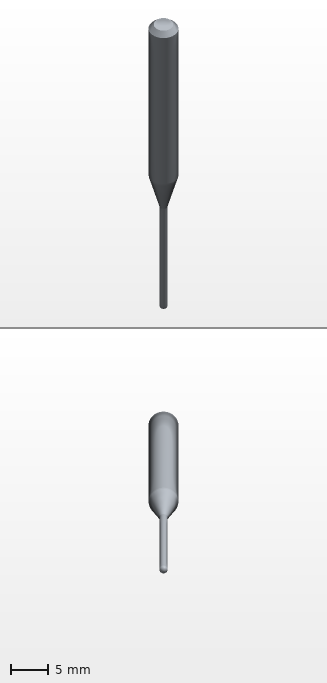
import cadquery as cq
import math

TOTAL_LENGTH = 50.0
SHANK_RADIUS = 2.0
SHANK_CHAMFER = 0.7

BALL_RADIUS = 0.55
HEAD_LENGTH = 1.0

NECK_RADIUS = 0.55
CONE_ANGLE = math.radians(15)
CONE_TOP_Z = 23.25
SHANK_BLEND_RADIUS = 1.15
NECK_BLEND_RADIUS = 0.5


def make_cutting_head():
    """Short cylinder ending in a hemispherical nose."""
    nose_offset = BALL_RADIUS * math.sqrt(0.5)
    half_profile = (
        cq.Workplane("XZ")
        .threePointArc((nose_offset, BALL_RADIUS - nose_offset), (BALL_RADIUS, BALL_RADIUS))
        .lineTo(BALL_RADIUS, HEAD_LENGTH)
        .lineTo(0, HEAD_LENGTH)
        .close()
    )
    return half_profile.revolve(360, (0, 0, 0), (0, 1, 0))


def make_holder():
    """Neck, cone and chamfered shank, turned as one piece."""
    chamfer_bottom_z = TOTAL_LENGTH - SHANK_CHAMFER
    top_radius = SHANK_RADIUS - SHANK_CHAMFER

    cone_top_radius = SHANK_RADIUS - SHANK_BLEND_RADIUS * (1 - math.cos(CONE_ANGLE))
    shank_bottom_z = CONE_TOP_Z + SHANK_BLEND_RADIUS * math.sin(CONE_ANGLE)
    cone_bottom_radius = NECK_RADIUS + NECK_BLEND_RADIUS * (1 - math.cos(CONE_ANGLE))
    cone_height = (cone_top_radius - cone_bottom_radius) / math.tan(CONE_ANGLE)
    cone_bottom_z = CONE_TOP_Z - cone_height
    neck_top_z = cone_bottom_z - NECK_BLEND_RADIUS * math.sin(CONE_ANGLE)

    half_profile = (
        cq.Workplane("XZ")
        .moveTo(0, HEAD_LENGTH)
        .lineTo(NECK_RADIUS, HEAD_LENGTH)
        .lineTo(NECK_RADIUS, neck_top_z)
        .tangentArcPoint((cone_bottom_radius, cone_bottom_z), relative=False)
        .lineTo(cone_top_radius, CONE_TOP_Z)
        .tangentArcPoint((SHANK_RADIUS, shank_bottom_z), relative=False)
        .lineTo(SHANK_RADIUS, chamfer_bottom_z)
        .lineTo(top_radius, TOTAL_LENGTH)
        .lineTo(0, TOTAL_LENGTH)
        .close()
    )
    return half_profile.revolve(360, (0, 0, 0), (0, 1, 0))


cutting_head = make_cutting_head()
holder = make_holder()

result = cq.Compound.makeCompound([cutting_head.val(), holder.val()])